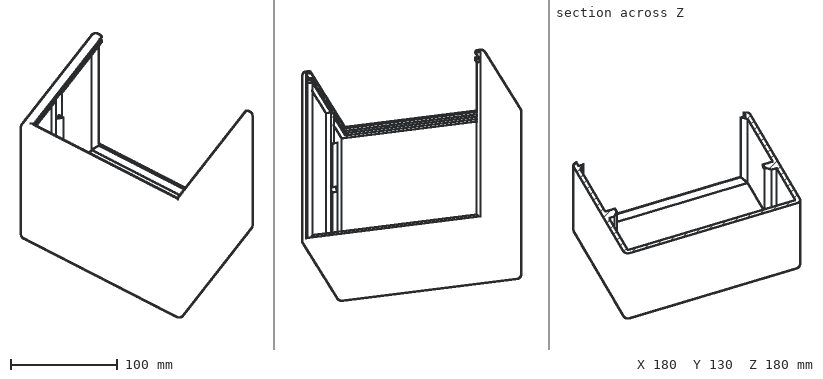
import cadquery as cq

width = 180.0
depth = 130.0
height = 180.0

wall = 5.0
edge_radius = wall

lip_reach = 5.0
upper_lip_height = 2.5
lip_round = upper_lip_height
groove_height = 5.0
lower_lip_height = 2.5

back_rib_setback = 5.0

strip_front = -15.0
strip_back = -5.0
bracket_reach = 5.0
bracket_top = 50.0
pin_radius = 2.5
pin_height = 0.0

right = width / 2
back = depth / 2
front = -back
top = height / 2
bottom = -top

inner_right = right - wall
inner_front = front + wall
floor_top = bottom + wall
lip_right = inner_right - lip_reach
lip_front = inner_front + lip_reach

upper_lip_bottom = top - upper_lip_height
lower_lip_top = upper_lip_bottom - groove_height
lower_lip_bottom = lower_lip_top - lower_lip_height


def box_between(x_limits, y_limits, z_limits):
    """Axis-aligned box given by its limits along X, Y and Z."""
    lows, highs = zip(x_limits, y_limits, z_limits)
    size = [high - low for low, high in zip(lows, highs)]
    return cq.Workplane("XY").box(*size, centered=False).translate(lows)


def both_sides(body):
    """The body together with its mirror image on the opposite side wall."""
    return body.union(body.mirror("YZ"))


def make_shell():
    """Rounded box open at the top and the back; the edge between the two openings is not rounded."""
    block = box_between((-right, right), (front, back), (bottom, top))
    block = block.edges("not (>Z and >Y)").fillet(edge_radius)
    cavity = box_between((-inner_right, inner_right), (inner_front, back), (floor_top, top))
    return block.cut(cavity)


def make_ledge(z_limits):
    """U-shaped ledge standing in from the side and front walls by the lip reach."""
    ledge = box_between((-inner_right, inner_right), (inner_front, back), z_limits)
    opening = box_between((-lip_right, lip_right), (lip_front, back), z_limits)
    return ledge.cut(opening)


def make_upper_lip():
    """Ledge flush with the top, its inner edge a quarter round over the full ledge height."""
    blank_limits = (upper_lip_bottom - upper_lip_height, top)
    inner_top_edges = cq.selectors.BoxSelector(
        (-inner_right + lip_round, inner_front + lip_round, top - lip_round / 2),
        (inner_right - lip_round, back, top + lip_round),
    )
    blank = make_ledge(blank_limits).edges(inner_top_edges).fillet(lip_round)
    keep = box_between((-inner_right, inner_right), (inner_front, back), (upper_lip_bottom, top))
    return blank.intersect(keep)


def make_lower_lip():
    """Plain square ledge below the groove."""
    return make_ledge((lower_lip_bottom, lower_lip_top))


def make_back_rib():
    """U-shaped rib behind the back opening, flat to the back and sloped at 45 degrees to the inside."""
    flat_y = back - back_rib_setback
    slope_end_y = flat_y - lip_reach
    side_rib = (
        cq.Workplane("XY", origin=(0, 0, floor_top))
        .polyline([(inner_right, slope_end_y), (inner_right, flat_y), (lip_right, flat_y)])
        .close()
        .extrude(lower_lip_top - floor_top)
    )
    floor_rib = (
        cq.Workplane("YZ", origin=(-inner_right, 0, 0))
        .polyline([(slope_end_y, floor_top), (flat_y, floor_top), (flat_y, floor_top + lip_reach)])
        .close()
        .extrude(2 * inner_right)
    )
    return both_sides(side_rib).union(floor_rib)


def make_side_mount():
    """Upright strip on the right wall carrying a triangular bracket and a round pin."""
    strip = box_between(
        (lip_right, inner_right), (strip_front, strip_back), (floor_top, lower_lip_top)
    )
    tip_x = lip_right - bracket_reach
    pin_y = strip_back - pin_radius
    bracket_back = pin_y - pin_radius
    bracket = (
        cq.Workplane("XY", origin=(0, 0, floor_top))
        .polyline([(lip_right, strip_front), (lip_right, bracket_back), (tip_x, bracket_back)])
        .close()
        .extrude(bracket_top - floor_top)
    )
    pin = (
        cq.Workplane("YZ", origin=(tip_x, pin_y, pin_height))
        .circle(pin_radius)
        .extrude(bracket_reach)
    )
    return strip.union(bracket).union(pin)


result = make_shell()
result = result.union(make_upper_lip())
result = result.union(make_lower_lip())
result = result.union(make_back_rib())
result = result.union(both_sides(make_side_mount()))